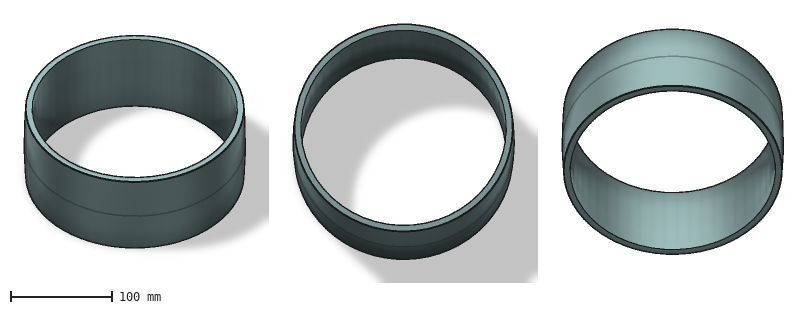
import cadquery as cq

outer_diameter = 219.0
bore_diameter = 203.0
width = 89.0
land_width = 0.7
crown_drop = 1.3
rim_chamfer = 0.7

crest_radius = outer_diameter / 2
bore_radius = bore_diameter / 2
rim_radius = crest_radius - crown_drop
half_width = width / 2
half_land = land_width / 2

arc_width = half_width - half_land
crown_arc_radius = (arc_width**2 + crown_drop**2) / (2 * crown_drop)
arc_mid_offset = arc_width / 2
arc_mid_height = half_land + arc_mid_offset
arc_mid_radius = crest_radius - crown_arc_radius + (crown_arc_radius**2 - arc_mid_offset**2) ** 0.5


def crowned_sleeve():
    """Plain bore and a convex outside with a narrow land at the crest."""
    section = (
        cq.Workplane("XZ")
        .moveTo(-bore_radius, -half_width)
        .lineTo(-rim_radius, -half_width)
        .threePointArc((-arc_mid_radius, -arc_mid_height), (-crest_radius, -half_land))
        .lineTo(-crest_radius, half_land)
        .threePointArc((-arc_mid_radius, arc_mid_height), (-rim_radius, half_width))
        .lineTo(-bore_radius, half_width)
        .close()
    )
    return section.revolve(360, (0, 0, 0), (0, 1, 0))


def chamfer_outer_rims(sleeve):
    """Chamfer the larger circular edge on each end face."""
    for end_face in ("<Z", ">Z"):
        outer_rim = sleeve.faces(end_face).edges(cq.selectors.RadiusNthSelector(-1))
        sleeve = outer_rim.chamfer(rim_chamfer)
    return sleeve


result = chamfer_outer_rims(crowned_sleeve())